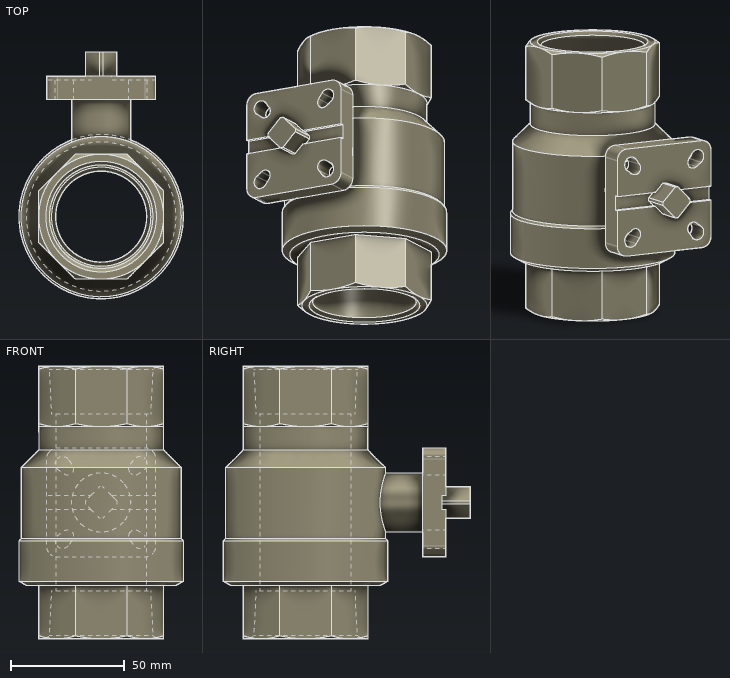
import cadquery as cq
import math

length = 120.0
body_diameter = 70.5
ring_diameter = 72.5
ring_bottom = 23.4
ring_top = 44.2
ring_bottom_chamfer_width = 3.4
ring_bottom_chamfer_height = 1.9
ring_top_chamfer_height = 1.1
shoulder_top = 83.2

across_flats = 55.0
octagon_sides = 8
upper_octagon_bottom = 93.4
octagon_chamfer_angle = 30.0

bore_diameter = 40.0
mouth_diameter = 48.7
thread_outer_diameter = 45.6
thread_inner_diameter = 43.7
thread_depth = 21.0

stem_diameter = 26.0
stem_height = 60.0
flange_near_y = 51.5
flange_far_y = 61.8
flange_size = 48.0
flange_corner_radius = 4.8

inner_bolt_circle = 42.0
inner_bolt_hole = 5.5
outer_bolt_circle = 48.0
outer_bolt_hole = 6.5
bolt_slot_angles = (45, 135, 225, 315)

drive_end_y = 72.5
drive_square = 10.8
drive_corner_diameter = 13.9
drive_turn = 45
groove_width = 6.2
groove_depth = 1.7


def revolve_about_z(points):
    """Turn an outline of (radius, height) points about the Z axis."""
    return cq.Workplane("XZ").polyline(points).close().revolve(360, (0, 0, 0), (0, 1, 0))


def plane_facing_y(y):
    """Plane across the stem axis at y: local x is X, local y is -Z, normal is +Y."""
    return cq.Workplane(cq.Plane(origin=(0, y, stem_height), xDir=(1, 0, 0), normal=(0, 1, 0)))


def turned_body():
    neck_radius = across_flats / 2
    body_radius = body_diameter / 2
    ring_radius = ring_diameter / 2
    shoulder_bottom = shoulder_top - (body_radius - neck_radius)
    return revolve_about_z([
        (0, ring_bottom),
        (ring_radius - ring_bottom_chamfer_width, ring_bottom),
        (ring_radius, ring_bottom + ring_bottom_chamfer_height),
        (ring_radius, ring_top - ring_top_chamfer_height),
        (body_radius, ring_top),
        (body_radius, shoulder_bottom),
        (neck_radius, shoulder_top),
        (neck_radius, upper_octagon_bottom),
        (0, upper_octagon_bottom),
    ])


def octagon_end(bottom, top, chamfer_bottom, chamfer_top):
    """Octagonal prism whose corners are trimmed by a cone at the chosen ends."""
    flat_radius = across_flats / 2
    corner_radius = flat_radius / math.cos(math.pi / octagon_sides)
    trim = (corner_radius - flat_radius) * math.tan(math.radians(octagon_chamfer_angle))
    prism = (
        cq.Workplane("XY", origin=(0, 0, bottom))
        .transformed(rotate=(0, 0, 180 / octagon_sides))
        .polygon(octagon_sides, 2 * corner_radius)
        .extrude(top - bottom)
    )
    envelope = [(0, bottom)]
    if chamfer_bottom:
        envelope += [(flat_radius, bottom), (corner_radius, bottom + trim)]
    else:
        envelope += [(corner_radius, bottom)]
    if chamfer_top:
        envelope += [(corner_radius, top - trim), (flat_radius, top)]
    else:
        envelope += [(corner_radius, top)]
    envelope += [(0, top)]
    return prism.intersect(revolve_about_z(envelope))


def flow_passage():
    """Through bore with a tapered thread bore and a 45 degree mouth chamfer at each end."""
    mouth_radius = mouth_diameter / 2
    bore_radius = bore_diameter / 2
    thread_outer_radius = thread_outer_diameter / 2
    thread_inner_radius = thread_inner_diameter / 2
    mouth_depth = mouth_radius - thread_outer_radius
    return revolve_about_z([
        (0, 0),
        (mouth_radius, 0),
        (thread_outer_radius, mouth_depth),
        (thread_inner_radius, thread_depth),
        (bore_radius, thread_depth),
        (bore_radius, length - thread_depth),
        (thread_inner_radius, length - thread_depth),
        (thread_outer_radius, length - mouth_depth),
        (mouth_radius, length),
        (0, length),
    ])


def stem():
    return plane_facing_y(0).circle(stem_diameter / 2).extrude(flange_near_y)


def bolt_slot(angle):
    """Slot bounded by two unequal circles and their common tangents, at an angle about the stem."""
    inner_center = inner_bolt_circle / 2
    outer_center = outer_bolt_circle / 2
    inner_radius = inner_bolt_hole / 2
    outer_radius = outer_bolt_hole / 2
    tangent_cos = (inner_radius - outer_radius) / (outer_center - inner_center)
    tangent_sin = math.sqrt(1 - tangent_cos**2)
    inner_x = inner_center + inner_radius * tangent_cos
    inner_y = inner_radius * tangent_sin
    outer_x = outer_center + outer_radius * tangent_cos
    outer_y = outer_radius * tangent_sin
    return (
        plane_facing_y(flange_near_y)
        .transformed(rotate=(0, 0, angle))
        .moveTo(inner_x, inner_y)
        .lineTo(outer_x, outer_y)
        .threePointArc((outer_center + outer_radius, 0), (outer_x, -outer_y))
        .lineTo(inner_x, -inner_y)
        .threePointArc((inner_center - inner_radius, 0), (inner_x, inner_y))
        .close()
        .extrude(flange_far_y - flange_near_y)
    )


def flange():
    plate = (
        plane_facing_y(flange_near_y)
        .rect(flange_size, flange_size)
        .extrude(flange_far_y - flange_near_y)
        .edges("|Y")
        .fillet(flange_corner_radius)
    )
    groove = (
        plane_facing_y(flange_far_y - groove_depth)
        .rect(flange_size, groove_width)
        .extrude(groove_depth)
    )
    plate = plate.cut(groove)
    for angle in bolt_slot_angles:
        plate = plate.cut(bolt_slot(angle))
    return plate


def square_drive():
    """Square standing on its corner, with its corners rounded to a common circle."""
    base_y = flange_far_y - groove_depth
    drive_length = drive_end_y - base_y
    square = (
        plane_facing_y(base_y)
        .transformed(rotate=(0, 0, drive_turn))
        .rect(drive_square, drive_square)
        .extrude(drive_length)
    )
    corner_round = plane_facing_y(base_y).circle(drive_corner_diameter / 2).extrude(drive_length)
    return square.intersect(corner_round)


result = (
    turned_body()
    .union(octagon_end(0, ring_bottom, True, False))
    .union(octagon_end(upper_octagon_bottom, length, True, True))
    .union(stem())
    .union(flange())
    .union(square_drive())
    .cut(flow_passage())
)